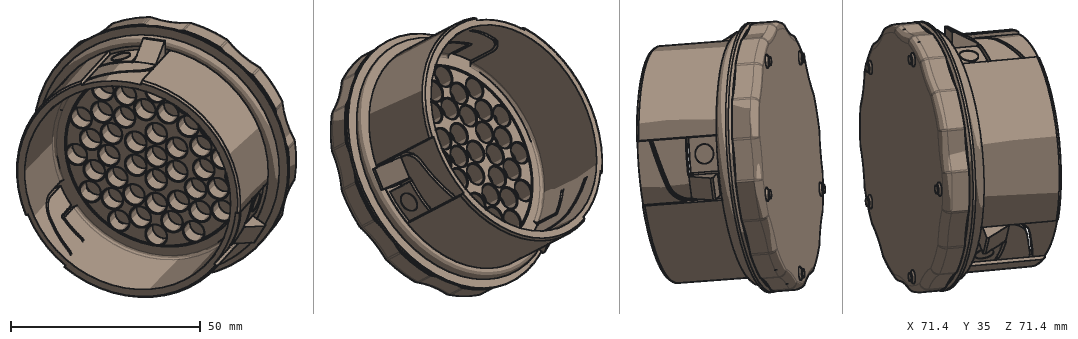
import cadquery as cq
import math

flange_back = 1.5
cap_back = 8.6
foot_back = 9.5
barrel_front = -25.5

flange_radius = 35.7
flange_bevel_radial = 0.7
flange_bevel_axial = 0.8
barrel_radius = 31.4
barrel_bevel_radial = 0.5
barrel_bevel_axial = 0.7
bore_radius = 28.9
bore_fillet = 0.85
opening_radius = 25.7

ring_section_radius = 1.75
ring_centre_radius = 32.05
floor_front = -2 * ring_section_radius

latch_count = 3
latch_spacing = 360 / latch_count
recess_radius = 30.4
recess_angle_left = 25.0
recess_angle_right = 7.0
slot_width = 0.85
latch_half_width = 3.0
latch_gap = 1.15
hook_radius = 34.3
hook_crest = 0.7
hook_foot_y = -12.1
hook_root_radius = 29.6
short_slot_y = -11.9
short_slot_corner = 0.7
curve_start_y = -12.15
curve_radius = 6.3
curve_slope = 17.0
slot_overrun = 2.15
dimple_radius = 2.5
dimple_depth = 0.15
dimple_x = -8.5
dimple_y = -7.4

disc_bevel = 0.5
hole_radius = 2.85
hole_bevel = 0.25
hole_circles = [(1, 0.0, 0.0), (6, 6.65, 90.0), (13, 13.4, -90.0), (13, 18.55, 90.0), (13, 22.55, -90.0)]

land_count = 10
land_spacing = 360 / land_count
land_radius = 35.55
scallop_radius = 34.5
cap_corner_fillet = 1.4
cap_edge_fillet = 2.0
cap_front_bevel = 0.2
foot_count = 5
foot_circle_radius = 31.3
foot_base_radius = 1.85
foot_top_radius = 1.15
foot_flare = 0.6


def polar(radius, angle):
    """Point in the XZ plane, with the angle counted from +X toward +Z."""
    return (radius * math.cos(math.radians(angle)), radius * math.sin(math.radians(angle)))


def turned(points):
    """Solid of revolution about the Y axis from (radius, y) points."""
    return cq.Workplane("XY").polyline(points).close().revolve(360, (0, 0), (0, 1))


def front_plane(y):
    """Workplane at the given Y that faces the front of the part (-Y)."""
    return cq.Workplane("XZ", origin=(0, y, 0))


def at_latches(body):
    """Copies of a body modelled at the top latch, one for every latch."""
    return [body.rotate((0, 0, 0), (0, 1, 0), k * latch_spacing) for k in range(latch_count)]


def make_ring():
    return (
        cq.Workplane("XY")
        .center(ring_centre_radius, -ring_section_radius)
        .circle(ring_section_radius)
        .revolve(360, (-ring_centre_radius, 0), (-ring_centre_radius, 1))
    )


def make_shell():
    """Flange and barrel around the stepped bore, before the latches are cut."""
    shell = turned([
        (opening_radius, floor_front),
        (opening_radius, flange_back),
        (flange_radius - flange_bevel_radial, flange_back),
        (flange_radius, flange_back - flange_bevel_axial),
        (flange_radius, 0),
        (barrel_radius, 0),
        (barrel_radius, barrel_front + barrel_bevel_axial),
        (barrel_radius - barrel_bevel_radial, barrel_front),
        (bore_radius, barrel_front),
        (bore_radius, floor_front),
    ])
    floor_point = (0, floor_front, (opening_radius + bore_radius) / 2)
    floor = shell.faces(cq.selectors.NearestToPointSelector(floor_point))
    bore_corner = cq.selectors.RadiusNthSelector(-1)
    return floor.edges(bore_corner).fillet(bore_fillet)


def make_recess():
    """Sector that thins the barrel wall around one latch."""
    sweep = recess_angle_left + recess_angle_right
    sector = (
        cq.Workplane("XY")
        .polyline([
            (recess_radius, barrel_front),
            (recess_radius, floor_front),
            (flange_radius, floor_front),
            (flange_radius, barrel_front),
        ])
        .close()
        .revolve(sweep, (0, 0), (0, 1))
    )
    return sector.rotate((0, 0, 0), (0, 1, 0), -90 - recess_angle_left)


def make_hook():
    """Ramped tooth that rises from the free end of the latch."""
    free_end = floor_front - latch_gap
    return (
        cq.Workplane("YZ", origin=(-latch_half_width, 0, 0))
        .polyline([
            (free_end, hook_root_radius),
            (free_end, hook_radius),
            (free_end - hook_crest, hook_radius),
            (hook_foot_y, recess_radius),
            (hook_foot_y, hook_root_radius),
        ])
        .close()
        .extrude(2 * latch_half_width)
    )


def make_slots():
    """Slots that free the latch on three sides, cut straight through the wall."""
    cut_base = bore_radius - slot_overrun
    cut_height = flange_radius - cut_base
    slot_centre = latch_half_width + slot_width / 2
    root_x = -recess_radius * math.sin(math.radians(recess_angle_left))
    plane = cq.Workplane("XY", origin=(0, 0, cut_base))

    outer = latch_half_width + slot_width
    gap_centre = floor_front - latch_gap / 2
    gap = plane.center(0, gap_centre).rect(2 * outer, latch_gap).extrude(cut_height)

    short_low = short_slot_y - slot_width / 2
    short_high = short_slot_y + slot_width / 2
    corner = (
        plane.moveTo(-outer, floor_front)
        .lineTo(-latch_half_width, floor_front)
        .lineTo(-latch_half_width, short_low + short_slot_corner)
        .tangentArcPoint((-latch_half_width - short_slot_corner, short_low), relative=False)
        .lineTo(root_x, short_low)
        .lineTo(root_x, short_high)
        .lineTo(-outer, short_high)
        .close()
        .extrude(cut_height)
    )

    turn = 90 - curve_slope
    centre = (slot_centre - curve_radius, curve_start_y)
    inner_radius = curve_radius - slot_width / 2
    outer_radius = curve_radius + slot_width / 2

    def on_curve(radius, angle):
        return (
            centre[0] + radius * math.cos(math.radians(angle)),
            centre[1] - radius * math.sin(math.radians(angle)),
        )

    def at_root(radius):
        x, y = on_curve(radius, turn)
        return (root_x, y - (x - root_x) * math.tan(math.radians(curve_slope)))

    curved = (
        plane.moveTo(latch_half_width, floor_front)
        .lineTo(*on_curve(inner_radius, 0))
        .threePointArc(on_curve(inner_radius, turn / 2), on_curve(inner_radius, turn))
        .lineTo(*at_root(inner_radius))
        .lineTo(*at_root(outer_radius))
        .lineTo(*on_curve(outer_radius, turn))
        .threePointArc(on_curve(outer_radius, turn / 2), on_curve(outer_radius, 0))
        .lineTo(outer, floor_front)
        .close()
        .extrude(cut_height)
    )
    return gap.union(corner).union(curved)


def make_dimple():
    """Shallow round mark that follows the curved recess floor."""
    punch = cq.Workplane("XY", origin=(dimple_x, dimple_y, 0)).circle(dimple_radius).extrude(flange_radius)
    core = front_plane(0).circle(recess_radius - dimple_depth).extrude(-barrel_front)
    return punch.cut(core)


def make_housing():
    housing = make_shell().cut(make_ring())
    for recess in at_latches(make_recess()):
        housing = housing.cut(recess)
    for slots in at_latches(make_slots()):
        housing = housing.cut(slots)
    for hook in at_latches(make_hook()):
        housing = housing.union(hook)
    for dimple in at_latches(make_dimple()):
        housing = housing.cut(dimple)
    return housing


def make_disc():
    """Disc in the floor opening, flush with the floor and drilled through."""
    thickness = flange_back - floor_front
    disc = front_plane(flange_back).circle(opening_radius).extrude(thickness)
    disc = disc.faces("<Y").edges().chamfer(disc_bevel)
    drill = turned([
        (0, floor_front),
        (hole_radius + hole_bevel, floor_front),
        (hole_radius, floor_front + hole_bevel),
        (hole_radius, flange_back),
        (0, flange_back),
    ])
    drills = []
    for count, circle_radius, first_angle in hole_circles:
        for k in range(count):
            x, z = polar(circle_radius, first_angle + 360 * k / count)
            drills.append(drill.val().translate(cq.Vector(x, 0, z)))
    return disc.cut(cq.Compound.makeCompound(drills))


def make_cap():
    """Solid grip cap behind the flange, with a circle of small feet."""
    quarter = land_spacing / 4
    outline = front_plane(flange_back).moveTo(*polar(land_radius, -quarter))
    for k in range(land_count):
        middle = k * land_spacing
        outline = outline.threePointArc(polar(land_radius, middle), polar(land_radius, middle + quarter))
        outline = outline.threePointArc(
            polar(scallop_radius, middle + 2 * quarter), polar(land_radius, middle + 3 * quarter)
        )
    cap = outline.close().extrude(flange_back - cap_back)
    cap = cap.edges("|Y").fillet(cap_corner_fillet)
    cap = cap.faces(">Y").edges().fillet(cap_edge_fillet)
    cap = cap.faces("<Y").edges().chamfer(cap_front_bevel)
    foot = turned([
        (0, cap_back),
        (foot_base_radius, cap_back),
        (foot_top_radius, cap_back + foot_flare),
        (foot_top_radius, foot_back),
        (0, foot_back),
    ])
    for k in range(foot_count):
        x, z = polar(foot_circle_radius, 180 + 360 * k / foot_count)
        cap = cap.union(foot.translate((x, 0, z)))
    return cap


housing = make_housing()
seal_ring = make_ring()
disc = make_disc()
cap = make_cap()

result = cq.Compound.makeCompound([housing.val(), seal_ring.val(), disc.val(), cap.val()])